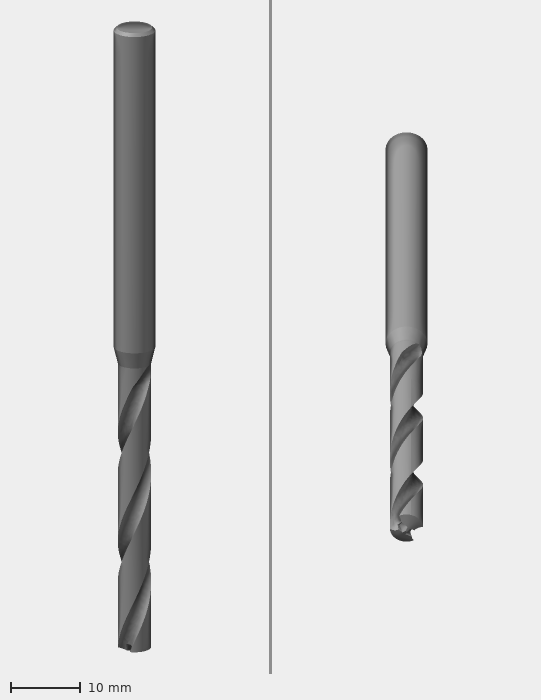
import cadquery as cq
import math

overall_length = 95.0
shank_radius = 3.0
shank_chamfer = 0.45
shank_bottom_z = 46.5

cutter_radius = 2.4
neck_top_z = 44.0
cutter_top_z = 34.5
point_angle = 140.0
point_height = cutter_radius / math.tan(math.radians(point_angle / 2))

flute_count = 2
helix_angle = 24.5
flute_lead = 2 * math.pi * cutter_radius / math.tan(math.radians(helix_angle))
flute_radius = 1.4
flute_core_radius = 1.0
flute_axis_radius = flute_core_radius + flute_radius
flute_start_z = -1.0
flute_end_z = 41.0

flute_angle_at_joint = -70.0

runout_height = 6.0
runout_side_lean = 0.7
runout_outward_lean = 0.24

gash_size = 3.4
gash_width = 1.2
gash_heel_reach = 0.6
gash_web = 0.15
gash_lean = 25.0
gash_turn = 15.0


def flute_angle(z):
    """Angular position of the first flute at height z."""
    return flute_angle_at_joint + 360 * (z - cutter_top_z) / flute_lead


def make_flute():
    """Cutting volumes of the first flute: a helical length and the runout above it."""
    helix_height = flute_end_z - flute_start_z
    helix = (
        cq.Workplane("XY")
        .moveTo(flute_axis_radius, 0)
        .circle(flute_radius)
        .twistExtrude(helix_height, 360 * helix_height / flute_lead)
        .rotate((0, 0, 0), (0, 0, 1), flute_angle(flute_start_z))
        .translate((0, 0, flute_start_z))
    )
    runout_direction = cq.Vector(runout_outward_lean, runout_side_lean, 1) * runout_height
    flute_end = cq.Wire.makeCircle(
        flute_radius, cq.Vector(flute_axis_radius, 0, flute_end_z), cq.Vector(0, 0, 1)
    )
    runout = cq.Workplane(cq.Solid.extrudeLinear(flute_end, [], runout_direction))
    runout = runout.rotate((0, 0, 0), (0, 0, 1), flute_angle(flute_end_z))
    return helix, runout


def cut_flutes(body):
    """Cut every flute, equally spaced around the axis, out of a body."""
    flute_volumes = make_flute()
    for index in range(flute_count):
        turn = 360 / flute_count * index
        for volume in flute_volumes:
            body = body.cut(volume.rotate((0, 0, 0), (0, 0, 1), turn))
    return body


def make_shank():
    """Chamfered shank, tapering to the fluted neck."""
    blank = (
        cq.Workplane("XZ")
        .moveTo(0, cutter_top_z)
        .lineTo(cutter_radius, cutter_top_z)
        .lineTo(cutter_radius, neck_top_z)
        .lineTo(shank_radius, shank_bottom_z)
        .lineTo(shank_radius, overall_length - shank_chamfer)
        .lineTo(shank_radius - shank_chamfer, overall_length)
        .lineTo(0, overall_length)
        .close()
        .revolve(360, (0, 0), (0, 1))
    )
    return cut_flutes(blank)


def cut_gashes(body):
    """Thin the web at the point with one sloping notch per flute."""
    gash = (
        cq.Workplane("XY")
        .box(gash_size, gash_width, gash_size, centered=(False, False, False))
        .translate((0, -gash_heel_reach, -gash_size / 2))
        .rotate((0, 0, 0), (0, 1, 0), gash_lean)
        .translate((gash_web, 0, 0))
    )
    for index in range(flute_count):
        turn = flute_angle(0) + gash_turn + 360 / flute_count * index
        body = body.cut(gash.rotate((0, 0, 0), (0, 0, 1), turn))
    return body


def make_cutter():
    """Fluted cutting end with a conical point."""
    blank = (
        cq.Workplane("XZ")
        .lineTo(-cutter_radius, point_height)
        .lineTo(-cutter_radius, cutter_top_z)
        .lineTo(0, cutter_top_z)
        .close()
        .revolve(360, (0, 0), (0, 1))
    )
    return cut_gashes(cut_flutes(blank))


shank = make_shank()
cutter = make_cutter()
result = cq.Compound.makeCompound([*shank.vals(), *cutter.vals()])